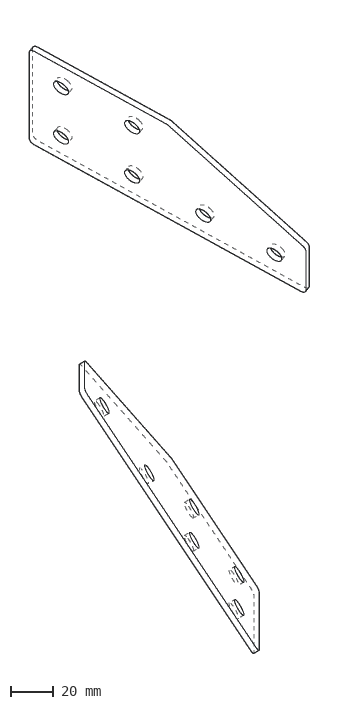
import cadquery as cq

length = 156.0
height = 76.0
thickness = 3.0
corner_radius = 3.0

top_edge_length = length / 2
right_edge_height = 37.0

hole_diameter = 8.5
hole_margin = 18.0
hole_pitch = height - 2 * hole_margin
holes_per_row = [4, 2]


def make_plate():
    """Plate lying in XZ, with its lower left corner at the origin."""
    outline = [
        (0, 0),
        (length, 0),
        (length, right_edge_height),
        (top_edge_length, height),
        (0, height),
    ]
    plate = cq.Workplane("XZ").polyline(outline).close().extrude(thickness)
    return plate.edges("|Y").fillet(corner_radius)


def make_holes():
    """Cylinders through the plate, row by row from the bottom."""
    centers = [
        (hole_margin + column * hole_pitch, hole_margin + row * hole_pitch)
        for row, count in enumerate(holes_per_row)
        for column in range(count)
    ]
    return cq.Workplane("XZ").pushPoints(centers).circle(hole_diameter / 2).extrude(thickness)


result = make_plate().cut(make_holes())